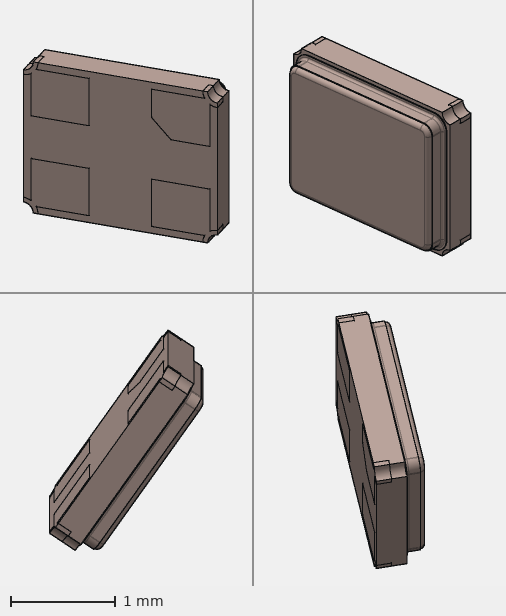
import cadquery as cq

BASE_LENGTH = 2.0
BASE_HEIGHT = 1.6
BASE_DEPTH = 0.3
NOTCH_RADIUS = 0.1

PAD_LENGTH = 0.6
PAD_HEIGHT = 0.5
PAD_DEPTH = BASE_DEPTH / 2
PAD_CENTER_X = 0.622
PAD_CENTER_Z = 0.475
PAD_COLLAR_WIDTH = 0.05
PAD_MARKER_CHAMFER = 0.2

LID_INSET = 0.1
LID_DEPTH = 0.2
LID_CORNER_RADIUS = 0.1
LID_EDGE_RADIUS = 0.05

SEAL_THICKNESS = 0.01
FLANGE_INSET = 0.04
FLARE_RADIUS = 0.025

FLANGE_TOP = BASE_DEPTH + SEAL_THICKNESS
SLEEVE_INSET = LID_INSET - SEAL_THICKNESS
SLEEVE_DEPTH = LID_DEPTH - LID_EDGE_RADIUS

CORNERS = [(side_x, side_z) for side_x in (-1, 1) for side_z in (-1, 1)]
MARKED_CORNER = (1, 1)


def block(length, height, depth, start=0.0):
    """A block centred in X and Z that runs from Y = start to Y = start + depth."""
    return cq.Workplane("XZ", origin=(0, start, 0)).rect(length, height).extrude(-depth)


def rounded_block(inset, depth):
    """A block on the back of the base whose corners are concentric with the lid corners."""
    plain = block(BASE_LENGTH - 2 * inset, BASE_HEIGHT - 2 * inset, depth, BASE_DEPTH)
    return plain.edges("|Y").fillet(LID_CORNER_RADIUS + LID_INSET - inset)


def corner_cylinder(side_x, side_z, radius, depth):
    """A cylinder along Y around one corner of the base outline."""
    axis = (side_x * BASE_LENGTH / 2, side_z * BASE_HEIGHT / 2)
    return cq.Workplane("XZ").center(*axis).circle(radius).extrude(-depth)


def make_notched_base():
    """The base outline with a round notch cut through at each corner."""
    plate = block(BASE_LENGTH, BASE_HEIGHT, BASE_DEPTH)
    for side_x, side_z in CORNERS:
        plate = plate.cut(corner_cylinder(side_x, side_z, NOTCH_RADIUS, BASE_DEPTH))
    return plate


def make_pad(side_x, side_z, notched_base):
    """A rectangular pad joined to the collar around its corner notch."""
    pad = block(PAD_LENGTH, PAD_HEIGHT, PAD_DEPTH)
    if (side_x, side_z) == MARKED_CORNER:
        pad = pad.edges("|Y and <X and <Z").chamfer(PAD_MARKER_CHAMFER)
    pad = pad.translate((side_x * PAD_CENTER_X, 0, side_z * PAD_CENTER_Z))
    collar_radius = NOTCH_RADIUS + PAD_COLLAR_WIDTH
    pad = pad.union(corner_cylinder(side_x, side_z, collar_radius, PAD_DEPTH))
    return pad.intersect(notched_base)


def make_lid():
    """A block with rounded corners and a rounded outer edge."""
    return rounded_block(LID_INSET, LID_DEPTH).faces(">Y").edges().fillet(LID_EDGE_RADIUS)


def make_seal(lid):
    """A flange and a sleeve joined by a concave flare, with the lid passing through."""
    flange = rounded_block(FLANGE_INSET, SEAL_THICKNESS)
    sleeve = rounded_block(SLEEVE_INSET, SLEEVE_DEPTH)

    edge_reach = SEAL_THICKNESS / 2
    reach_x = BASE_LENGTH / 2 - SLEEVE_INSET + edge_reach
    reach_z = BASE_HEIGHT / 2 - SLEEVE_INSET + edge_reach
    foot_edges = cq.selectors.BoxSelector(
        (-reach_x, FLANGE_TOP - edge_reach, -reach_z),
        (reach_x, FLANGE_TOP + edge_reach, reach_z),
        boundingbox=True,
    )
    return flange.union(sleeve).edges(foot_edges).fillet(FLARE_RADIUS).cut(lid)


notched_base = make_notched_base()
pads = [make_pad(side_x, side_z, notched_base) for side_x, side_z in CORNERS]
base = notched_base
for pad in pads:
    base = base.cut(pad)
lid = make_lid()
seal = make_seal(lid)

result = cq.Compound.makeCompound(
    [
        base.solids().val(),
        lid.solids().val(),
        seal.solids().val(),
        *[pad.solids().val() for pad in pads],
    ]
)